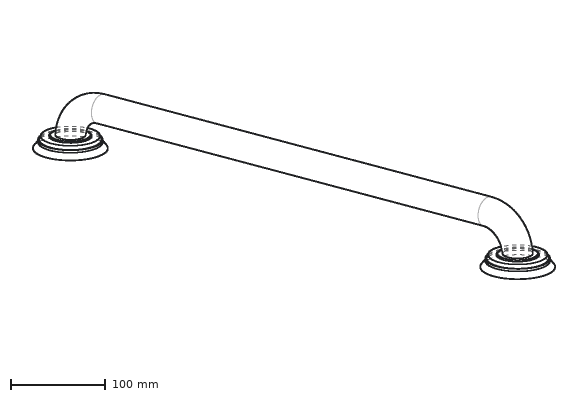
import cadquery as cq

total_length = 690.0
total_height = 70.0

tube_diameter = 32.5
bend_radius = 41.5

flange_radius = 40.0
skirt_top_radius = 34.5
skirt_top_height = 7.0
shoulder_height = 10.0
plate_base_radius = 33.0
plate_height = 14.0
plate_top_radius = 32.0
collar_base_radius = 23.0
collar_top_radius = 21.5
collar_height = 15.0

tube_radius = tube_diameter / 2
leg_x = total_length / 2 - flange_radius
axis_height = total_height - tube_radius
bend_start_height = axis_height - bend_radius
straight_end_x = leg_x - bend_radius


def make_flange(x):
    """Revolved flange with a sloping skirt, a shoulder, a tapered plate and a collar."""
    profile = (
        cq.Workplane("XZ")
        .lineTo(flange_radius, 0)
        .lineTo(skirt_top_radius, skirt_top_height)
        .lineTo(skirt_top_radius, shoulder_height)
        .lineTo(plate_base_radius, shoulder_height)
        .lineTo(plate_top_radius, plate_height)
        .lineTo(collar_base_radius, plate_height)
        .lineTo(collar_top_radius, collar_height)
        .lineTo(0, collar_height)
        .close()
    )
    return profile.revolve(360, (0, 0, 0), (0, 1, 0)).translate((x, 0, 0))


def make_tube():
    """Round bar with a quarter bend down to each flange."""
    path = (
        cq.Workplane("XZ")
        .moveTo(-leg_x, 0)
        .lineTo(-leg_x, bend_start_height)
        .radiusArc((-straight_end_x, axis_height), bend_radius)
        .lineTo(straight_end_x, axis_height)
        .radiusArc((leg_x, bend_start_height), bend_radius)
        .lineTo(leg_x, 0)
    )
    return cq.Workplane("XY").center(-leg_x, 0).circle(tube_radius).sweep(path)


result = make_tube().union(make_flange(-leg_x)).union(make_flange(leg_x))